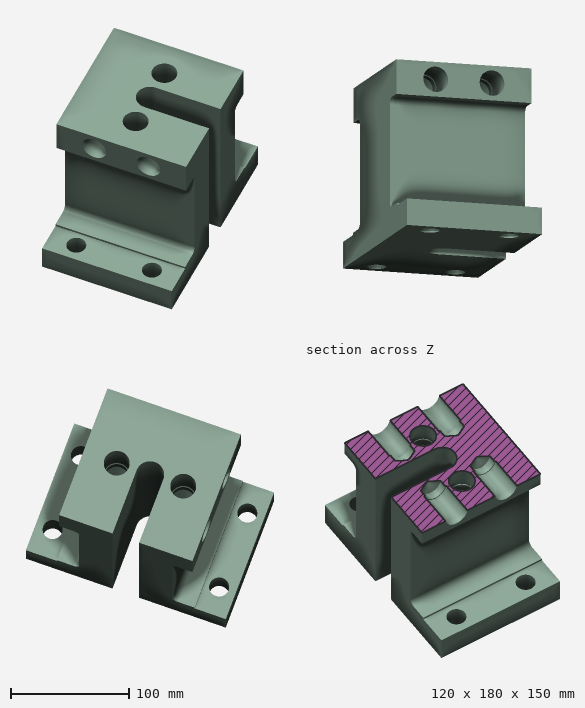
import cadquery as cq
import math

length = 120.0
height = 150.0

base_width = 180.0
base_thickness = 23.0
pad_width = 124.0
pad_top = 25.0

web_width = 84.0
head_width = 120.0
head_thickness = 30.0
head_underside = height - head_thickness
web_fillet = 5.0
corner_margin = 0.9

mount_diameter = 17.0
mount_spacing_x = 70.0
mount_spacing_y = 150.0

slot_width = 24.0
slot_end_x = 0.0

entry_diameter = 22.0
entry_depth = 33.0
drill_diameter = 20.0
drill_depth = 40.0
drill_tip_angle = 118.0
top_hole_spacing = 60.0
side_hole_spacing = 50.0


def make_body():
    """I-shaped body with filleted corners where the web meets base and head."""
    half_section = [
        (0, 0),
        (base_width / 2, 0),
        (base_width / 2, base_thickness),
        (pad_width / 2, base_thickness),
        (pad_width / 2, pad_top),
        (web_width / 2, pad_top),
        (web_width / 2, head_underside),
        (head_width / 2, head_underside),
        (head_width / 2, height),
        (0, height),
    ]
    half = cq.Workplane("YZ").polyline(half_section).close().extrude(length / 2, both=True)
    web_corners = cq.selectors.BoxSelector(
        (-length, web_width / 2 - corner_margin, pad_top - corner_margin),
        (length, web_width / 2 + corner_margin, head_underside + corner_margin),
    )
    half = half.edges("|X").edges(web_corners).fillet(web_fillet)
    return half.union(half.mirror("XZ"))


def make_mount_holes():
    """Four plain holes through the base flange."""
    return (
        cq.Workplane("XY")
        .rarray(mount_spacing_x, mount_spacing_y, 2, 2)
        .circle(mount_diameter / 2)
        .extrude(base_thickness)
    )


def make_slot():
    """Vertical slot with a round inner end."""
    radius = slot_width / 2
    return (
        cq.Workplane("XY")
        .moveTo(length / 2, -radius)
        .lineTo(slot_end_x, -radius)
        .threePointArc((slot_end_x - radius, 0), (slot_end_x, radius))
        .lineTo(length / 2, radius)
        .close()
        .extrude(height)
    )


def make_stepped_hole(mouth, direction):
    """Solid of one stepped blind hole, starting at mouth and running along direction."""
    entry_radius = entry_diameter / 2
    drill_radius = drill_diameter / 2
    tip_length = drill_radius / math.tan(math.radians(drill_tip_angle / 2))
    x_axis = cq.Vector(1, 0, 0)
    plane = cq.Plane(origin=mouth, xDir=x_axis, normal=x_axis.cross(cq.Vector(direction)))
    return (
        cq.Workplane(plane)
        .polyline([
            (0, 0),
            (entry_radius, 0),
            (entry_radius, entry_depth),
            (drill_radius, entry_depth),
            (drill_radius, drill_depth),
            (0, drill_depth + tip_length),
        ])
        .close()
        .revolve(360, (0, 0), (0, 1))
    )


result = make_body().cut(make_mount_holes()).cut(make_slot())

for side in (-1, 1):
    top_mouth = (0, side * top_hole_spacing / 2, height)
    result = result.cut(make_stepped_hole(top_mouth, (0, 0, -1)))

    for end in (-1, 1):
        side_mouth = (end * side_hole_spacing / 2, side * head_width / 2, height - head_thickness / 2)
        result = result.cut(make_stepped_hole(side_mouth, (0, -side, 0)))